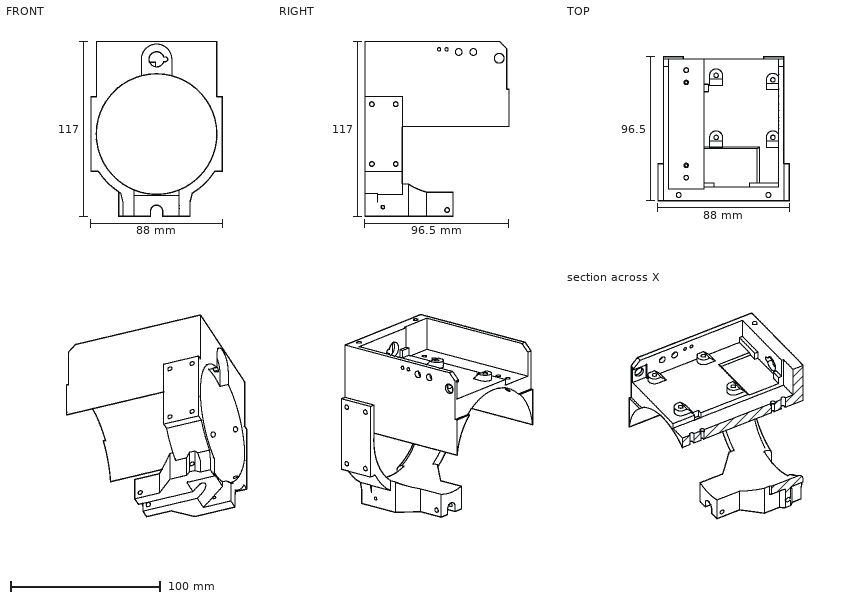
import cadquery as cq
import math


cut_margin = 1.0

bore_radius = 40.25
ring_wall = 6.0
ring_radius = bore_radius + ring_wall
ring_length = 25.0
flare_depth = 6.0
flare_drop = 4.0
flare_sections = 13
flare_start_angle = math.radians(5)
flare_overlap = 0.1

box_half_width = bore_radius
box_wall = 3.5
box_inner_half = box_half_width - box_wall
box_top = 62.0
box_bottom = 5.0
box_length = 95.0
back_lip = 1.5
back_lip_top = 30.0
rear_chamfer = 5.0
front_wall = 9.5
floor_top = 44.0

bay_right = -13.1
bay_front = 8.1
bay_floor = 40.0
bay_hole_x = -25.0
bay_holes_plain = (15.6, 87.5)
bay_holes_stepped = (23.8, 79.3)
bay_hole_diameter = 3.0
bay_pilot_diameter = 2.0
bay_step_depth = 2.0
notch_width = 3.0
notch_front = 73.1
notch_length = 4.9

pocket_right = 24.1
pocket_back = 36.1
pocket_depth = 1.0
pocket_side_run = 1.6
pocket_back_run = 1.1
ledge_width = 2.4
ledge_gap_left = -6.3
ledge_gap_right = 17.25

post_height = 4.2
post_top = floor_top + post_height
post_radius = 4.35
post_front = 2.4
post_hole_diameter = 3.0
post_hole_depth = 5.0
post_places = ((-5.0, 84.0), (33.0, 81.0), (-5.0, 42.5), (33.0, 42.5))

lid_hole_x = 30.0
lid_hole_y = 4.0
lid_hole_diameter = 3.3
lid_hole_depth = 10.0
recess_z = 50.0
recess_radius = 10.2
recess_depth = 6.0
connector_radius = 5.0
key_radius = 1.5
key_x = 5.9

jack_y = 89.8
jack_z = 50.7
jack_recess_half = 5.3
jack_recess_depth = 1.5
wall_openings = (
    (jack_y, jack_z, 6.5),
    (72.5, 54.9, 4.5),
    (62.7, 54.9, 4.5),
    (54.6, 56.7, 2.2),
    (49.6, 56.7, 2.2),
)

plate_half_width = 44.0
plate_half_height = 25.0
plate_hole_z = 20.0
plate_hole_y = (4.6, 20.6)
plate_hole_diameter = 3.0

foot_bottom = -55.0
foot_half_width = 22.5
foot_taper_start = 29.0
foot_taper_end = 41.2
foot_back_half = 10.8
foot_length = 59.0
blend_bottom = -45.5
blend_top_x = 23.9
blend_length = 8.5
lug_reach = 2.9
lug_front = 10.0
lug_back = 13.75
lug_back_run = 3.4
opening_half_width = 15.0
opening_top = -41.2
cable_slot_radius = 4.0
cable_slot_top = -47.6
clamp_hole_y = 12.0
clamp_hole_z = -48.8
clamp_clearance_diameter = 3.0
clamp_pilot_diameter = 2.0
tie_hole_y = 55.0
tie_hole_z = -50.8
tie_hole_diameter = 3.0


def block(x_range, y_range, z_range):
    """Axis-aligned box between the given limits."""
    size = [b - a for a, b in (x_range, y_range, z_range)]
    corner = (x_range[0], y_range[0], z_range[0])
    return cq.Workplane("XY").box(*size, centered=False).translate(corner)


def rod_y(x, z, radius, y_start, y_end):
    """Cylinder parallel to Y."""
    axis = cq.Vector(0, 1, 0)
    return cq.Workplane(cq.Solid.makeCylinder(radius, y_end - y_start, cq.Vector(x, y_start, z), axis))


def rod_x(y, z, diameter, x_start, x_end):
    """Cylinder parallel to X."""
    axis = cq.Vector(1, 0, 0)
    return cq.Workplane(cq.Solid.makeCylinder(diameter / 2, x_end - x_start, cq.Vector(x_start, y, z), axis))


def rod_z(x, y, diameter, z_start, z_end):
    """Cylinder parallel to Z."""
    return cq.Workplane(cq.Solid.makeCylinder(diameter / 2, z_end - z_start, cq.Vector(x, y, z_start)))


def make_box():
    """Box body with the chamfered rear top edge and the low rear lip."""
    body = block((-box_half_width, box_half_width), (0, box_length), (box_bottom, box_top))
    body = body.faces(">Y").edges(">Z").chamfer(rear_chamfer)
    lip_end = box_length + back_lip
    return body.union(block((-box_half_width, box_half_width), (0, lip_end), (box_bottom, back_lip_top)))


def make_post(x, y):
    """Rounded screw post with a 45 degree ramp on its front side."""
    width = 2 * post_radius
    ramp_end = y - post_front - post_height
    ramp = (
        cq.Workplane("YZ", origin=(x - post_radius, 0, 0))
        .moveTo(ramp_end, floor_top)
        .lineTo(y, floor_top)
        .lineTo(y, post_top)
        .lineTo(y - post_front, post_top)
        .close()
        .extrude(width)
    )
    round_back = rod_z(x, y, width, floor_top, post_top)
    round_back = round_back.intersect(block((x - width, x + width), (y, y + width), (floor_top, post_top)))
    inside = block((-box_inner_half, box_inner_half), (0, box_length), (floor_top, post_top))
    return ramp.union(round_back).intersect(inside)


def make_pocket():
    """Shallow floor pocket with sloped right and rear sides."""
    left = bay_right
    front = front_wall
    rim_width = pocket_right - left
    rim_length = pocket_back - front
    floor_z = floor_top - pocket_depth
    bottom_width = rim_width - pocket_side_run
    bottom_length = rim_length - pocket_back_run
    return (
        cq.Workplane("XY", origin=(left, front, floor_z))
        .rect(bottom_width, bottom_length, centered=False)
        .workplane(offset=pocket_depth)
        .rect(rim_width, rim_length, centered=False)
        .loft(ruled=True)
    )


def hollow_box(body):
    """Open the tray, side bay, notch and pocket, then add the ledges and posts."""
    rear = box_length + back_lip
    body = body.cut(block((-box_inner_half, box_inner_half), (front_wall, rear), (floor_top, box_top)))
    body = body.cut(block((-box_inner_half, bay_right), (bay_front, rear), (bay_floor, box_top)))
    notch_back = notch_front + notch_length
    notch_right = bay_right + notch_width
    body = body.cut(block((bay_right, notch_right), (notch_front, notch_back), (0, box_top)))
    body = body.cut(make_pocket())
    ledge_back = front_wall + ledge_width
    ledge_bottom = floor_top - pocket_depth
    for x_range in ((bay_right, ledge_gap_left), (ledge_gap_right, box_inner_half)):
        body = body.union(block(x_range, (front_wall, ledge_back), (ledge_bottom, post_top)))
    for x, y in post_places:
        body = body.union(make_post(x, y))
        body = body.cut(rod_z(x, y, post_hole_diameter, post_top - post_hole_depth, post_top))
    return body


def cut_bay_holes(body):
    """Four screw holes through the bay floor, two of them with a narrower pilot."""
    for y in bay_holes_plain:
        body = body.cut(rod_z(bay_hole_x, y, bay_hole_diameter, 0, box_top))
    for y in bay_holes_stepped:
        body = body.cut(rod_z(bay_hole_x, y, bay_pilot_diameter, 0, box_top))
        body = body.cut(rod_z(bay_hole_x, y, bay_hole_diameter, bay_floor - bay_step_depth, box_top))
    return body


def cut_front_wall(body):
    """Lid screw holes, connector recess and the keyed connector hole."""
    for x in (-lid_hole_x, lid_hole_x):
        body = body.cut(rod_z(x, lid_hole_y, lid_hole_diameter, box_top - lid_hole_depth, box_top))
    body = body.cut(rod_y(0, recess_z, recess_radius, 0, recess_depth))
    body = body.cut(block((-recess_radius, recess_radius), (0, recess_depth), (0, recess_z)))
    body = body.cut(rod_y(0, recess_z, connector_radius, 0, front_wall))
    key_z = (recess_z - key_radius, recess_z + key_radius)
    body = body.cut(block((0, key_x), (0, front_wall), key_z))
    return body.cut(rod_y(key_x, recess_z, key_radius, 0, front_wall))


def make_foot():
    """Foot below the ring: tapering tongue, clamp lug and the blend under the ring."""
    outline = (
        cq.Workplane("XY", origin=(0, 0, foot_bottom))
        .moveTo(foot_half_width, 0)
        .lineTo(foot_half_width, foot_taper_start)
        .lineTo(foot_back_half, foot_taper_end)
        .lineTo(foot_back_half, foot_length)
        .lineTo(-foot_back_half, foot_length)
        .lineTo(-foot_back_half, foot_taper_end)
        .lineTo(-foot_half_width, foot_taper_start)
        .lineTo(-foot_half_width, lug_back + lug_back_run)
        .lineTo(-foot_half_width - lug_reach, lug_back)
        .lineTo(-foot_half_width - lug_reach, lug_front)
        .lineTo(-foot_half_width, lug_front - lug_reach)
        .lineTo(-foot_half_width, 0)
        .close()
    )
    foot = outline.extrude(-foot_bottom)
    blend_top = -math.sqrt(ring_radius**2 - blend_top_x**2)
    blend = (
        cq.Workplane("XZ")
        .moveTo(-foot_half_width, blend_bottom)
        .lineTo(-blend_top_x, blend_top)
        .lineTo(blend_top_x, blend_top)
        .lineTo(foot_half_width, blend_bottom)
        .close()
        .extrude(-blend_length)
    )
    lug_side = -foot_half_width - lug_reach
    lug_top = -math.sqrt(ring_radius**2 - lug_side**2)
    above_lug = block((lug_side, -foot_half_width), (0, ring_length), (lug_top, 0))
    return foot.cut(above_lug).union(blend)


def make_ring():
    """Lower half of the clamp ring with the flat side plates."""
    sides = (-plate_half_width, plate_half_width)
    length = (0, ring_length)
    lower_ring = rod_y(0, 0, ring_radius, 0, ring_length).intersect(block(sides, length, (-ring_radius, 0)))
    return lower_ring.union(block(sides, length, (-plate_half_height, plate_half_height)))


def flare_profile(angle):
    """Radial section of the lead-in at an angle below the horizontal; it fades out toward the sides."""
    depth = flare_depth * math.sin(angle)
    drop = flare_drop * math.sin(angle)
    radial = cq.Vector(math.cos(angle), 0, -math.sin(angle))

    def point(radius, y):
        return radial * radius + cq.Vector(0, y, 0)

    outer = bore_radius + drop
    start = bore_radius - flare_overlap
    inner = bore_radius - cut_margin
    rise = (outer - start) * math.cos(math.pi / 4)
    mid = point(outer - rise, depth * (1 - math.sin(math.pi / 4)))
    bore_end = point(start, depth)
    face_end = point(outer, 0)
    rounding = cq.Edge.makeSpline([bore_end, mid, face_end], tangents=[cq.Vector(0, -1, 0), radial])
    corners = [face_end, point(outer, -cut_margin), point(inner, -cut_margin), point(inner, depth), bore_end]
    sides = [cq.Edge.makeLine(start, end) for start, end in zip(corners, corners[1:])]
    return cq.Wire.assembleEdges([rounding] + sides)


def make_flare():
    """Rounded lead-in along the lower half of the bore's front edge, deepest at the bottom."""
    step = (math.pi - 2 * flare_start_angle) / (flare_sections - 1)
    wires = [flare_profile(flare_start_angle + i * step) for i in range(flare_sections)]
    return cq.Workplane(cq.Solid.makeLoft(wires))


def cut_foot_opening(body):
    """Front opening between the legs with a 45 degree roof, and the cable slot behind it."""
    front = -cut_margin
    back = foot_length + cut_margin
    below = foot_bottom - cut_margin
    roof_run = opening_top - below
    inside_bore = -bore_radius / 2
    opening = (
        cq.Workplane("YZ", origin=(-opening_half_width, 0, 0))
        .moveTo(front, below)
        .lineTo(front, inside_bore)
        .lineTo(flare_depth, inside_bore)
        .lineTo(flare_depth, opening_top)
        .lineTo(flare_depth + roof_run, below)
        .close()
        .extrude(2 * opening_half_width)
    )
    slot_z = cable_slot_top - cable_slot_radius
    sides = (-cable_slot_radius, cable_slot_radius)
    slot = rod_y(0, slot_z, cable_slot_radius, front, back)
    slot = slot.union(block(sides, (front, back), (below, slot_z)))
    return body.cut(opening).cut(slot)


def cut_jack_recess(body):
    """Thin the right wall from inside around the rear jack, open toward the back."""
    recess_x = (box_inner_half - cut_margin, box_inner_half + jack_recess_depth)
    recess_y = (jack_y - jack_recess_half, box_length + cut_margin)
    return body.cut(block(recess_x, recess_y, (floor_top, jack_z + jack_recess_half)))


def cut_cross_holes(body):
    """Holes parallel to X: side plates, clamp screw, tie hole and right wall openings."""
    for y in plate_hole_y:
        for z in (-plate_hole_z, plate_hole_z):
            body = body.cut(rod_x(y, z, plate_hole_diameter, -plate_half_width, plate_half_width))
    reach = foot_half_width + lug_reach
    body = body.cut(rod_x(clamp_hole_y, clamp_hole_z, clamp_clearance_diameter, -reach, -opening_half_width))
    body = body.cut(rod_x(clamp_hole_y, clamp_hole_z, clamp_pilot_diameter, opening_half_width, reach))
    body = body.cut(rod_x(tie_hole_y, tie_hole_z, tie_hole_diameter, -foot_back_half, foot_back_half))
    for y, z, diameter in wall_openings:
        body = body.cut(rod_x(y, z, diameter, box_inner_half - cut_margin, box_half_width))
    return body


result = hollow_box(make_box())
result = cut_bay_holes(result)
result = cut_jack_recess(result)
result = result.union(make_ring()).union(make_foot())
result = cut_front_wall(result)
result = result.cut(rod_y(0, 0, bore_radius, -cut_margin, box_length + back_lip + cut_margin))
result = result.cut(make_flare())
result = cut_foot_opening(result)
result = cut_cross_holes(result)